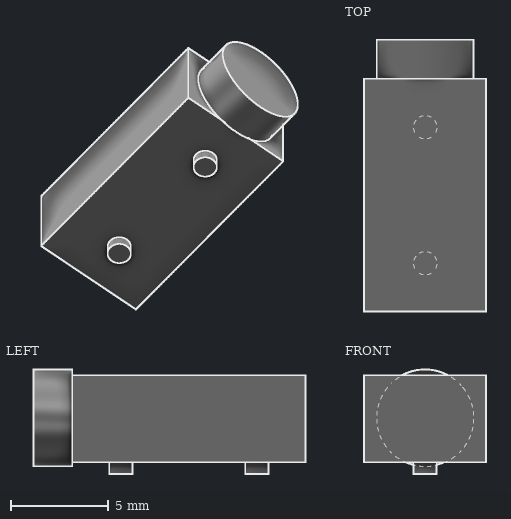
import cadquery as cq

total_length = 14.0
housing_width = 6.3
housing_height = 4.5
collar_diameter = 5.0
collar_length = 2.0
housing_length = total_length - collar_length

collar_axis_height = 2.3

peg_diameter = 1.2
peg_length = 0.6
peg_positions = (2.5, 9.5)


def make_housing():
    """Rectangular block standing on Z = 0 with its front face at Y = 0."""
    return cq.Workplane("XY").box(
        housing_width, housing_length, housing_height, centered=(True, False, False)
    )


def make_collar():
    """Round collar against the back face of the housing."""
    return (
        cq.Workplane("XZ", origin=(0, housing_length, collar_axis_height))
        .circle(collar_diameter / 2)
        .extrude(-collar_length)
    )


def make_peg(y):
    """Round peg hanging from the underside of the housing."""
    return cq.Workplane("XY", origin=(0, y, 0)).circle(peg_diameter / 2).extrude(-peg_length)


housing = make_housing()
collar = make_collar()
pegs = [make_peg(y) for y in peg_positions]

result = cq.Compound.makeCompound(
    [housing.val(), collar.val(), *[peg.val() for peg in pegs]]
)